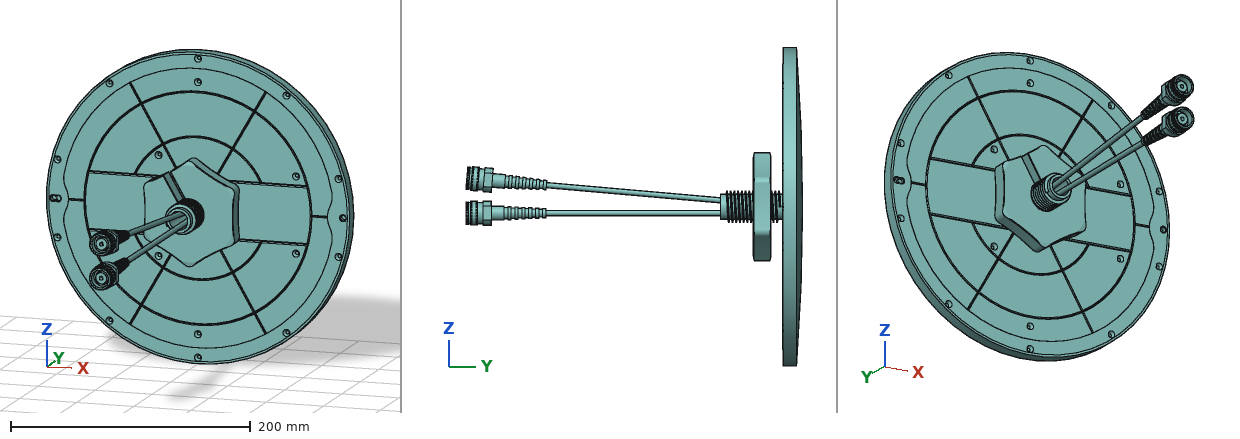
import cadquery as cq
import math


TOTAL_LENGTH = 280.88

RADOME_R = 133.0
RIM_WALL = 2.0
ROOF_THICKNESS = 2.0
RIM_TOP_Y = 11.7
DOME_HEIGHT = 5.0
DOME_LEDGE = 1.5

PAD_STEP = 0.3
PAD_R = 119.3
PAD_NOTCH_R = 20.0
PAD_NOTCH_X = 113.5
PAD_NOTCH_BLEND_R = 20.0
GROOVE_DEPTH = 0.8
GROOVE_WIDTH = 1.5
OUTER_GROOVE_R = 99.3
INNER_GROOVE_R = 60.9
STRIP_GROOVE_Z = 24.7
STRIP_GROOVE_WIDTH = 2.0
SPOKE_ANGLE = 60.0

SCREW_CIRCLE_R = 127.6
SCREW_STEP_ANGLE = 37.45
SCREW_TOP_R = 3.0
SCREW_BOTTOM_R = 1.4
SCREW_DEPTH = 3.0
INNER_SCREW_POINTS = [
    (0, 107.6), (0, -107.6),
    (-34.5, 43), (-34.5, -43),
    (86, 33), (86, -33),
]
LOCATING_X = 127.0
LOCATING_R = 2.4
LOCATING_DEPTH = 5.0
SECOND_LOCATING_X = -122.8
SECOND_LOCATING_DEPTH = 3.0
LOCATING_CHAMFER = 0.6

STEM_LENGTH = 52.0
STEM_CORE_R = 10.5
STEM_BORE_R = 8.0
THREAD_R = 13.2
THREAD_PITCH = 3.1
THREAD_BASE_WIDTH = 1.6
THREAD_CREST_WIDTH = 0.5
THREAD_ROOT_SINK = 0.3
THREAD_START = 1.5
THREAD_END = 48.3

NUT_FACE_Y = -9.6
NUT_THICKNESS = 15.0
NUT_CORNER_R = 46.5
NUT_SIDE_R = 38.6
NUT_CORNER_FILLET = 5.5
NUT_EDGE_CHAMFER = 0.5
NUT_BEVEL_R = 41.3
NUT_BEVEL_DEPTH = 1.3
NUT_SLOT_WIDTH = 6.8
NUT_SLOT_ANGLE = 120.0

LEAD_Z = 5.35
LEAD_TILT = 5.0
CABLE_R = 2.25
BOOT_START = 145.5
RIB_COUNT = 6
RIB_PITCH = 5.78
RIB_WIDTH = 2.67
FIRST_RIB_R = 4.0
BOOT_TAIL_R = 5.8
RIB_HEIGHT = 0.7
BOOT_END = 190.8

FLAT_LENGTH = 7.0
FLAT_X = 9.3
FLAT_HALF_HEIGHT = 5.8
FLAT_TOP_Z = 10.1
BODY_R = 8.9
RING_START = 202.3
RING_END = 208.2
RING_R = 10.0
END_BAND_START = 210.0
END_BAND_R = 9.4
NOTCH_COUNT = 24
NOTCH_WIDTH = 1.0
NOTCH_FLOOR_R = 9.0
RING_NOTCH_LENGTH = 1.2
SOCKET_R = 7.5
SOCKET_DEPTH = 7.0
INNER_SOCKET_R = 6.0
INNER_SOCKET_DEPTH = 10.0
POST_R = 4.9
POST_SETBACK = 3.0
PIN_HOLE_R = 1.6

BASE_R = RADOME_R - RIM_WALL
BASE_TOP_Y = RIM_TOP_Y - ROOF_THICKNESS
LEAD_FAR_Y = RIM_TOP_Y + DOME_HEIGHT - TOTAL_LENGTH
TILT = math.radians(LEAD_TILT)
LEAD_LENGTH = (-LEAD_FAR_Y - STEM_LENGTH - END_BAND_R * math.sin(TILT)) / math.cos(TILT)


def plane_at(y):
    """Plane facing -Y at the given height, with X and Z as its axes."""
    return cq.Workplane("XZ", origin=(0, y, 0))


def make_radome():
    dome_r = RADOME_R - DOME_LEDGE
    sphere_r = (dome_r**2 + DOME_HEIGHT**2) / (2 * DOME_HEIGHT)
    mid_r = dome_r / 2
    mid_y = RIM_TOP_Y + DOME_HEIGHT - sphere_r + math.sqrt(sphere_r**2 - mid_r**2)
    return (
        cq.Workplane("XY")
        .moveTo(0, BASE_TOP_Y)
        .lineTo(BASE_R, BASE_TOP_Y)
        .lineTo(BASE_R, PAD_STEP)
        .lineTo(RADOME_R, PAD_STEP)
        .lineTo(RADOME_R, RIM_TOP_Y)
        .lineTo(dome_r, RIM_TOP_Y)
        .threePointArc((mid_r, mid_y), (0, RIM_TOP_Y + DOME_HEIGHT))
        .close()
        .revolve(360, (0, 0, 0), (0, 1, 0))
    )


def groove_profile(center_x, width):
    """V section in the XY plane, cut into the pad face."""
    return (
        cq.Workplane("XY")
        .moveTo(center_x - width / 2, 0)
        .lineTo(center_x + width / 2, 0)
        .lineTo(center_x, GROOVE_DEPTH)
        .close()
    )


def ring_groove(radius):
    return groove_profile(radius, GROOVE_WIDTH).revolve(360, (0, 0, 0), (0, 1, 0))


def line_groove(width, angle):
    """Straight groove through the disc axis, turned by an angle from Z."""
    return groove_profile(0, width).extrude(RADOME_R, both=True).rotate((0, 0, 0), (0, 1, 0), angle)


def make_pad():
    notch_x = PAD_NOTCH_X + PAD_NOTCH_R
    notches = plane_at(PAD_STEP).pushPoints([(notch_x, 0), (-notch_x, 0)]).circle(PAD_NOTCH_R).extrude(PAD_STEP)
    pad = plane_at(PAD_STEP).circle(PAD_R).extrude(PAD_STEP).cut(notches)
    corners = cq.selectors.BoxSelector((-PAD_R, -1, -PAD_NOTCH_R), (PAD_R, 1, PAD_NOTCH_R))
    return pad.edges("|Y").edges(corners).fillet(PAD_NOTCH_BLEND_R)


def make_grooves(pad):
    inside_ring = plane_at(0).circle(OUTER_GROOVE_R).extrude(-GROOVE_DEPTH)
    strip = plane_at(0).rect(2 * OUTER_GROOVE_R, 2 * STRIP_GROOVE_Z).extrude(-GROOVE_DEPTH)
    grooves = ring_groove(INNER_GROOVE_R)
    for side in (-1, 1):
        grooves = grooves.union(line_groove(GROOVE_WIDTH, side * (90 - SPOKE_ANGLE)))
    grooves = grooves.cut(strip)
    for side in (-1, 1):
        strip_line = line_groove(STRIP_GROOVE_WIDTH, 90).translate((0, 0, side * STRIP_GROOVE_Z))
        grooves = grooves.union(strip_line.intersect(inside_ring))
    grooves = grooves.union(line_groove(GROOVE_WIDTH, 90).cut(inside_ring))
    grooves = grooves.union(ring_groove(OUTER_GROOVE_R))
    pad_prism = pad.faces("<Y").wires().toPending().workplane().extrude(-GROOVE_DEPTH, combine=False)
    return grooves.intersect(pad_prism)


def screw_holes(points, face_y):
    return (
        plane_at(face_y)
        .pushPoints(points)
        .circle(SCREW_TOP_R)
        .extrude(-SCREW_DEPTH, taper=math.degrees(math.atan((SCREW_TOP_R - SCREW_BOTTOM_R) / SCREW_DEPTH)))
    )


def locating_hole(x, depth):
    mouth_r = LOCATING_R + LOCATING_CHAMFER
    mouth = plane_at(PAD_STEP).center(x, 0).circle(mouth_r).extrude(-LOCATING_CHAMFER, taper=45)
    return plane_at(PAD_STEP).center(x, 0).circle(LOCATING_R).extrude(-depth).union(mouth)


def make_base():
    pad = make_pad()
    base = plane_at(BASE_TOP_Y).circle(BASE_R).extrude(BASE_TOP_Y - PAD_STEP)
    base = base.union(pad).cut(make_grooves(pad))

    angles = [pole + step * SCREW_STEP_ANGLE for pole in (90, 270) for step in (-2, -1, 0, 1, 2)]
    rim_points = [
        (SCREW_CIRCLE_R * math.cos(math.radians(a)), SCREW_CIRCLE_R * math.sin(math.radians(a)))
        for a in angles
    ]
    base = base.cut(screw_holes(rim_points, PAD_STEP)).cut(screw_holes(INNER_SCREW_POINTS, 0))

    for x, depth in (
        (LOCATING_X, LOCATING_DEPTH),
        (-LOCATING_X, LOCATING_DEPTH),
        (SECOND_LOCATING_X, SECOND_LOCATING_DEPTH),
    ):
        base = base.cut(locating_hole(x, depth))
    return base


def make_stem():
    root_r = STEM_CORE_R - THREAD_ROOT_SINK
    core = cq.Workplane("XY").circle(STEM_CORE_R).extrude(STEM_LENGTH)
    helix = cq.Wire.makeHelix(
        THREAD_PITCH, THREAD_END - THREAD_START - THREAD_BASE_WIDTH, root_r
    )
    ridge = (
        cq.Workplane("XZ")
        .moveTo(root_r, -THREAD_BASE_WIDTH / 2)
        .lineTo(THREAD_R, -THREAD_CREST_WIDTH / 2)
        .lineTo(THREAD_R, THREAD_CREST_WIDTH / 2)
        .lineTo(root_r, THREAD_BASE_WIDTH / 2)
        .close()
        .sweep(cq.Workplane(helix), isFrenet=True)
        .translate((0, 0, THREAD_START + THREAD_BASE_WIDTH / 2))
    )
    bore = cq.Workplane("XY").circle(STEM_BORE_R).extrude(STEM_LENGTH)
    return core.union(ridge).cut(bore).rotate((0, 0, 0), (1, 0, 0), 90)


def make_nut():
    corners = [
        (NUT_CORNER_R * math.sin(math.radians(60 * i)), NUT_CORNER_R * math.cos(math.radians(60 * i)))
        for i in range(6)
    ]
    middles = [
        (NUT_SIDE_R * math.sin(math.radians(60 * i + 30)), NUT_SIDE_R * math.cos(math.radians(60 * i + 30)))
        for i in range(6)
    ]
    outline = plane_at(NUT_FACE_Y).moveTo(*corners[0])
    for i in range(6):
        outline = outline.threePointArc(middles[i], corners[(i + 1) % 6])
    nut = outline.close().extrude(NUT_THICKNESS).edges("|Y").fillet(NUT_CORNER_FILLET)

    far_y = NUT_FACE_Y - NUT_THICKNESS
    bevel = (
        cq.Workplane("XY")
        .moveTo(0, NUT_FACE_Y)
        .lineTo(NUT_BEVEL_R, NUT_FACE_Y)
        .lineTo(NUT_CORNER_R, NUT_FACE_Y - NUT_BEVEL_DEPTH)
        .lineTo(NUT_CORNER_R, far_y + NUT_BEVEL_DEPTH)
        .lineTo(NUT_BEVEL_R, far_y)
        .lineTo(0, far_y)
        .close()
        .revolve(360, (0, 0, 0), (0, 1, 0))
    )
    bore = plane_at(NUT_FACE_Y).circle(THREAD_R).extrude(NUT_THICKNESS)
    slot = (
        plane_at(NUT_FACE_Y)
        .center(NUT_CORNER_R / 2, 0)
        .rect(NUT_CORNER_R, NUT_SLOT_WIDTH)
        .extrude(NUT_THICKNESS)
        .rotate((0, 0, 0), (0, 1, 0), -NUT_SLOT_ANGLE)
    )
    nut = nut.cut(slot).faces("<Y or >Y").edges().chamfer(NUT_EDGE_CHAMFER)
    return nut.intersect(bevel).cut(bore)


def rod(radius, start, end):
    return plane_at(-start).circle(radius).extrude(end - start)


def make_cable(tilt_degrees):
    tilt = math.radians(tilt_degrees)
    inner_length = (STEM_LENGTH - CABLE_R * math.sin(tilt)) / math.cos(tilt)
    return rod(CABLE_R, -inner_length, BOOT_START)


def make_boot():
    tail_start = BOOT_START + RIB_COUNT * RIB_PITCH
    boot = rod(BOOT_TAIL_R, tail_start, BOOT_END)
    for i in range(RIB_COUNT):
        start = BOOT_START + i * RIB_PITCH
        rib_r = FIRST_RIB_R + (BOOT_TAIL_R - FIRST_RIB_R) * i / RIB_COUNT
        boot = boot.union(rod(rib_r, start, start + RIB_WIDTH))
        boot = boot.union(rod(rib_r - RIB_HEIGHT, start + RIB_WIDTH, start + RIB_PITCH))
    return boot


def edge_notches(radius, start, end):
    """Axial notches around a ring, ready to be cut from it."""
    return (
        plane_at(-start)
        .polarArray(radius, 0, 360, NOTCH_COUNT)
        .rect(2 * (radius - NOTCH_FLOOR_R), NOTCH_WIDTH)
        .extrude(end - start)
    )


def make_connector():
    flats = (
        plane_at(-BOOT_END)
        .moveTo(FLAT_X, -FLAT_HALF_HEIGHT)
        .lineTo(FLAT_X, FLAT_HALF_HEIGHT)
        .threePointArc((0, FLAT_TOP_Z), (-FLAT_X, FLAT_HALF_HEIGHT))
        .lineTo(-FLAT_X, -FLAT_HALF_HEIGHT)
        .threePointArc((0, -FLAT_TOP_Z), (FLAT_X, -FLAT_HALF_HEIGHT))
        .close()
        .extrude(FLAT_LENGTH)
    )
    ring = rod(RING_R, RING_START, RING_END)
    ring = ring.cut(edge_notches(RING_R, RING_START, RING_START + RING_NOTCH_LENGTH))
    ring = ring.cut(edge_notches(RING_R, RING_END - RING_NOTCH_LENGTH, RING_END))
    end_band = rod(END_BAND_R, END_BAND_START, LEAD_LENGTH)
    end_band = end_band.cut(edge_notches(END_BAND_R, END_BAND_START, LEAD_LENGTH))
    connector = (
        flats.union(rod(BODY_R, BOOT_END + FLAT_LENGTH, RING_START))
        .union(ring)
        .union(rod(BODY_R, RING_END, END_BAND_START))
        .union(end_band)
    )
    inner_floor = LEAD_LENGTH - INNER_SOCKET_DEPTH
    socket = rod(SOCKET_R, LEAD_LENGTH - SOCKET_DEPTH, LEAD_LENGTH)
    socket = socket.union(rod(INNER_SOCKET_R, inner_floor, LEAD_LENGTH))
    post = rod(POST_R, inner_floor, LEAD_LENGTH - POST_SETBACK)
    pin_hole = rod(PIN_HOLE_R, inner_floor, LEAD_LENGTH)
    return connector.cut(socket).union(post).cut(pin_hole)


def place_lead(body, z, tilt_degrees):
    return body.rotate((0, 0, 0), (1, 0, 0), -tilt_degrees).translate((0, -STEM_LENGTH, z))


radome = make_radome()
base = make_base()
stem = make_stem()
nut = make_nut()

cables = []
boots = []
connectors = []
for lead_z, lead_tilt in ((LEAD_Z, LEAD_TILT), (-LEAD_Z, 0)):
    cables.append(place_lead(make_cable(lead_tilt), lead_z, lead_tilt).val())
    boots.append(place_lead(make_boot(), lead_z, lead_tilt).val())
    connectors.append(place_lead(make_connector(), lead_z, lead_tilt).val())

result = cq.Compound.makeCompound(
    [radome.val(), base.val(), stem.val(), nut.val(), *cables, *boots, *connectors]
)